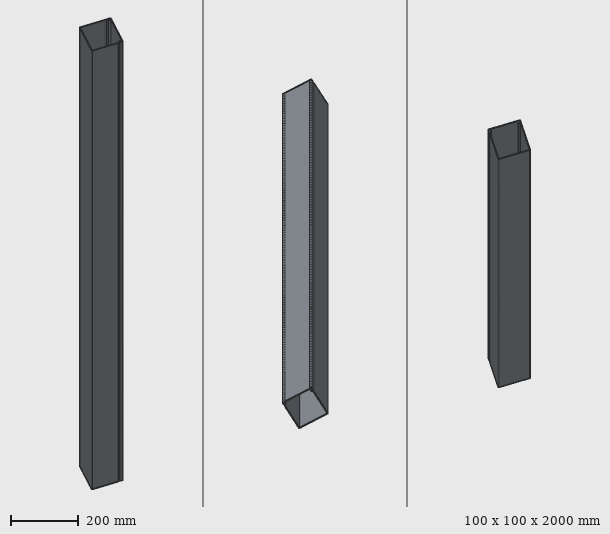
import cadquery as cq
import math

length = 2000.0
width = 100.0
wall = 3.0
edge_radius = 3.0
cover_flange = 10.0
flange_thickness = 5.0
lip_thickness = 5.0
shoulder_radius = 10.0

half = width / 2
seam_y = half - cover_flange
lip_outer_x = half - flange_thickness
lip_inner_x = lip_outer_x - lip_thickness

shoulder_angle = math.acos(1 - flange_thickness / shoulder_radius)
shoulder_y = seam_y - shoulder_radius * math.sin(shoulder_angle)
shoulder_middle = (
    half - shoulder_radius * (1 - math.cos(shoulder_angle / 2)),
    shoulder_y + shoulder_radius * math.sin(shoulder_angle / 2),
)
inner_bend_y = seam_y - lip_thickness


def make_channel():
    """Channel whose side walls bend inwards to lips behind the cover flanges."""
    outline = (
        cq.Workplane("XY")
        .moveTo(0, -half)
        .lineTo(half, -half)
        .lineTo(half, shoulder_y)
        .threePointArc(shoulder_middle, (lip_outer_x, seam_y))
        .lineTo(lip_outer_x, half - wall)
        .lineTo(lip_inner_x, half - wall)
        .lineTo(lip_inner_x, seam_y)
        .lineTo(half - wall, inner_bend_y)
        .lineTo(half - wall, -half + wall)
        .lineTo(0, -half + wall)
    )
    return outline.mirrorY().extrude(length).faces("<Y").edges("|Z").fillet(edge_radius)


def make_cover():
    """Flat cover with a short flange down each side, flush with the channel."""
    outline = (
        cq.Workplane("XY")
        .moveTo(0, half)
        .lineTo(half, half)
        .lineTo(half, seam_y)
        .lineTo(lip_outer_x, seam_y)
        .lineTo(lip_outer_x, half - wall)
        .lineTo(0, half - wall)
    )
    return outline.mirrorY().extrude(length).faces(">Y").edges("|Z").fillet(edge_radius)


channel = make_channel()
cover = make_cover()

result = cq.Compound.makeCompound([channel.val(), cover.val()])